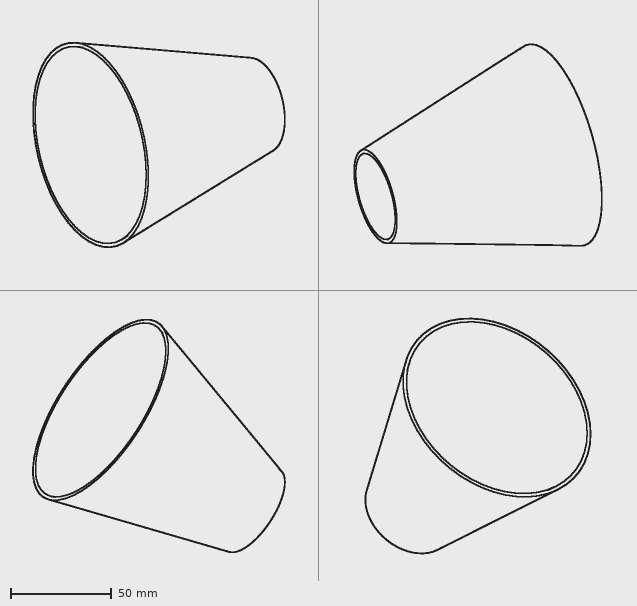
import cadquery as cq

large_diameter = 104.0
small_diameter = 48.3
length = 100.0
wall = 2.0

large_radius = large_diameter / 2
small_radius = small_diameter / 2
front_y = -length / 2
back_y = length / 2

wall_section = (
    cq.Workplane("XY")
    .moveTo(large_radius - wall, front_y)
    .lineTo(large_radius, front_y)
    .lineTo(small_radius, back_y)
    .lineTo(small_radius - wall, back_y)
    .close()
)

result = wall_section.revolve(360, (0, 0, 0), (0, 1, 0))